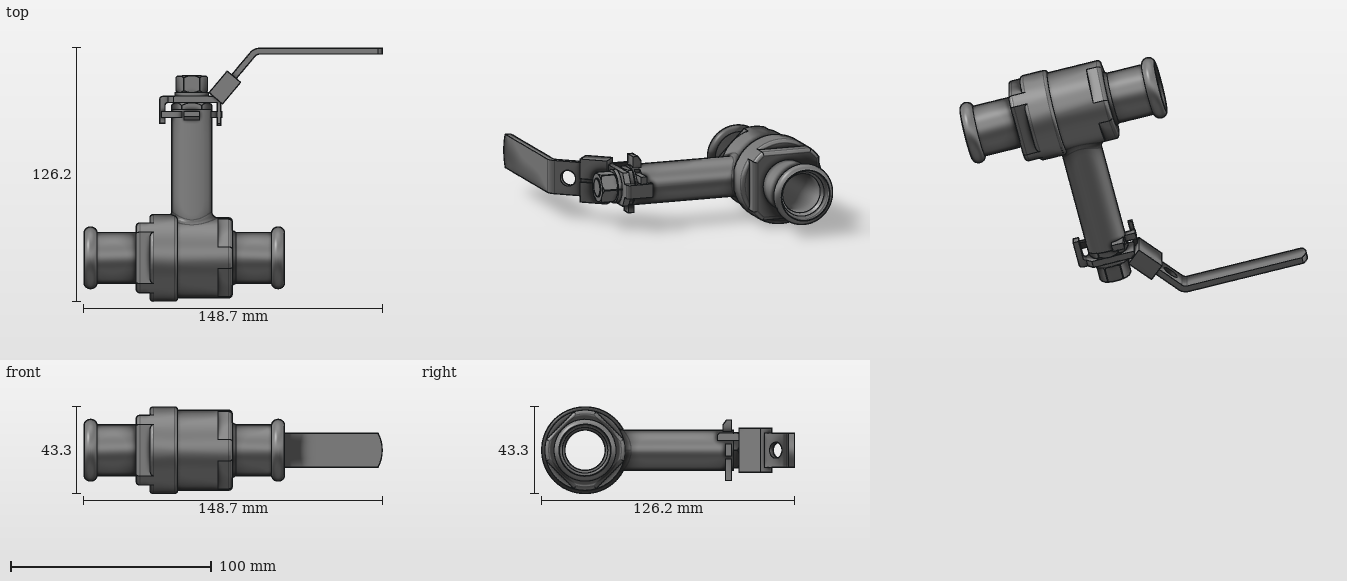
import cadquery as cq
import math

overall_length = 148.68

pipe_left = -53.7
pipe_right = 46.3
pipe_outer_radius = 25.5 / 2
bore_radius = 20 / 2
seat_radius = 22.7 / 2
mouth_radius = pipe_outer_radius
mouth_lip_radius = 13.0
mouth_chamfer = mouth_lip_radius - mouth_radius
mouth_round = mouth_radius - seat_radius
mouth_depth = 3.95
seat_depth = 5.9
bead_section_radius = 3.4
bead_outer_radius = 15.45

collar_radius = 43.3 / 2
body_radius = 40 / 2
block_left = -27.7
collar_left = -20.9
collar_right = -7.0
body_right = 20.2
body_flats_left = 13.1
flats_width = 34.9
edge_round = 1.85
collar_back_round = collar_radius - body_radius
neck_radius = 13.7
neck_right = 22.0

stem_radius = 10.05
stem_top = 73.95
stem_blend_radius = 3.0
gland_flats = 17.6
gland_chamfer = 1.3
plate_bottom = 77.35
plate_top = 80.55
washer_radius = 16.8 / 2
washer_top = 82.5
washer_slit = 0.5
nut_flats = 14.0
nut_corner_radius = 15.9 / 2
nut_top = 90.6
nut_chamfer = 0.8
thread_radius = 9.8 / 2
thread_top = 91.0
thread_chamfer = 0.5

lever_thickness = 3.0
lever_width = 17.0
lever_top = 104.5
lever_right = pipe_left + overall_length
lever_end_bulge = 2.1
lever_slope = 50
bend_inner_radius = 3.0
hole_radius = 8 / 2
hole_y = 96.0

sleeve_x = 16.5
sleeve_y = 84.9
sleeve_length = 14.1
sleeve_thickness = 8.8
sleeve_width = 22.0
groove_width = 1.7
groove_depth = 1.0

left_tab_x = -16.05
left_tab_width = 6.8
left_tab_thickness = 2.8
left_tab_bottom = 67.0
tab_bend_outer_radius = 1.7
tab_bend_inner_radius = 1.3
taper_start = -11.9
taper_end = -9.0
right_tab_x = 12.6
right_tab_thickness = 1.9
right_tab_bottom = 65.9
right_tab_top = 79.0
right_tab_z = (4.8, lever_width / 2)
right_tab_chamfer = 1.0

lug_top = 73.0
lug_bottom = 69.9
lug_reach = 15.1
left_lug_z = (3.3, 7.0)
right_lug_half_width = 3.0
upper_lug_half_width = 3.85
upper_lug_bottom = 68.75
upper_lug_chamfer_y = 1.7
upper_lug_chamfer_z = 2.4
lower_lug_x = (3.0, 9.0)
stem_notch_x = -4.9


def cylinder_x(radius, start, end):
    return cq.Workplane("YZ", origin=(start, 0, 0)).circle(radius).extrude(end - start)


def cylinder_y(radius, start, end):
    return cq.Workplane("XZ", origin=(0, start, 0)).circle(radius).extrude(start - end)


def square_bar_x(width, start, end, turn=0):
    bar = cq.Workplane("YZ", origin=(start, 0, 0)).rect(width, width).extrude(end - start)
    return bar.rotate((0, 0, 0), (1, 0, 0), turn)


def hexagon_y(flats, start, end):
    """Hexagonal prism along Y with two of its corners on the X axis."""
    corner_diameter = flats / math.cos(math.pi / 6)
    return cq.Workplane("XZ", origin=(0, start, 0)).polygon(6, corner_diameter).extrude(start - end)


def box(x_range, y_range, z_range):
    corner, opposite = zip(x_range, y_range, z_range)
    size = [high - low for low, high in zip(corner, opposite)]
    return cq.Workplane("XY").box(*size, centered=False).translate(corner)


def revolve_about_x(profile):
    return profile.close().revolve(360, (0, 0, 0), (1, 0, 0))


def nearest_edge(x, y):
    return cq.selectors.NearestToPointSelector((x, y, 0))


def place_at_end(feature, is_right_end):
    """Move a feature built for a pipe end at x = 0 to the left or right end of the pipe."""
    if is_right_end:
        return feature.mirror("YZ").translate((pipe_right, 0, 0))
    return feature.translate((pipe_left, 0, 0))


def make_bead():
    """Bead whose round section meets the end face at the lip of the mouth."""
    center_radius = bead_outer_radius - bead_section_radius
    center_x = math.sqrt(bead_section_radius**2 - (mouth_lip_radius - center_radius)**2)
    root_x = center_x + math.sqrt(bead_section_radius**2 - (pipe_outer_radius - center_radius)**2)
    profile = (
        cq.Workplane("XY")
        .moveTo(0, bore_radius)
        .lineTo(0, mouth_lip_radius)
        .threePointArc((center_x, bead_outer_radius), (root_x, pipe_outer_radius))
        .lineTo(root_x, bore_radius)
    )
    return revolve_about_x(profile)


def make_mouth():
    """Void at a pipe end: chamfered mouth, rounded step, then a cone down to the bore."""
    round_start = mouth_depth - mouth_round
    round_middle = mouth_round * math.sqrt(0.5)
    profile = (
        cq.Workplane("XY")
        .moveTo(0, 0)
        .lineTo(0, mouth_lip_radius)
        .lineTo(mouth_chamfer, mouth_radius)
        .lineTo(round_start, mouth_radius)
        .threePointArc((round_start + round_middle, seat_radius + round_middle), (mouth_depth, seat_radius))
        .lineTo(seat_depth, bore_radius)
        .lineTo(seat_depth, 0)
    )
    return revolve_about_x(profile)


def make_pipe():
    pipe = cylinder_x(pipe_outer_radius, pipe_left + bead_section_radius, pipe_right - bead_section_radius)
    for is_right_end in (False, True):
        pipe = pipe.union(place_at_end(make_bead(), is_right_end))
    return pipe


def make_main_body_and_stem():
    body = cylinder_x(body_radius, collar_left + edge_round, body_right)
    corners = cylinder_x(collar_radius, body_flats_left, body_right)
    corners = corners.cut(square_bar_x(flats_width, body_flats_left, body_right, turn=45))
    body = body.cut(corners)
    body = body.faces(">X").edges().fillet(edge_round)

    body = body.union(cylinder_y(stem_radius, 0, stem_top))
    margin = 1.0
    reach = stem_radius + margin
    seam_low = (-reach, body_radius / 2, -reach)
    seam_high = (reach, body_radius + margin, reach)
    seam = cq.selectors.BoxSelector(seam_low, seam_high, boundingbox=True)
    return body.edges(seam).fillet(stem_blend_radius)


def make_collar_and_block():
    collar = cylinder_x(collar_radius, collar_left, collar_right)
    collar = collar.faces("<X").edges().fillet(edge_round)
    collar = collar.faces(">X").edges().fillet(collar_back_round)

    block_right = collar_left + edge_round
    block = cylinder_x(collar_radius, block_left, block_right)
    block = block.intersect(square_bar_x(flats_width, block_left, block_right))
    block = block.faces("<X").edges().fillet(edge_round)
    return collar.union(block)


def make_neck():
    profile = (
        cq.Workplane("XY")
        .moveTo(0, 0)
        .lineTo(0, neck_radius)
        .lineTo(body_right, neck_radius)
        .lineTo(neck_right, pipe_outer_radius)
        .lineTo(neck_right, 0)
    )
    return revolve_about_x(profile)


def make_valve():
    valve = make_main_body_and_stem().union(make_collar_and_block()).union(make_neck()).union(make_pipe())
    valve = valve.cut(cylinder_x(bore_radius, pipe_left, pipe_right))
    for is_right_end in (False, True):
        valve = valve.cut(place_at_end(make_mouth(), is_right_end))
    return valve


def make_stem_fittings():
    gland_limit = cylinder_y(stem_radius, stem_top, plate_bottom).faces(">Y").edges().chamfer(gland_chamfer)
    gland = hexagon_y(gland_flats, stem_top, plate_bottom).intersect(gland_limit)

    nut_limit = cylinder_y(nut_corner_radius, washer_top, nut_top)
    nut_limit = nut_limit.faces("<Y or >Y").edges().chamfer(nut_chamfer)
    nut = hexagon_y(nut_flats, washer_top, nut_top).intersect(nut_limit)

    washer = cylinder_y(washer_radius, plate_top, washer_top)
    slit = box((-washer_radius, 0), (plate_top, washer_top), (-washer_slit / 2, washer_slit / 2))
    thread = cylinder_y(thread_radius, stem_top, thread_top).faces(">Y").edges().chamfer(thread_chamfer)
    return gland.union(nut).union(washer.cut(slit)).union(thread)


def slope_x(y, offset=0.0):
    """X of the sloping bar at height y, on a line offset from its middle toward the upper left."""
    slope = math.radians(lever_slope)
    return sleeve_x + (y - sleeve_y) / math.tan(slope) - offset / math.sin(slope)


def place_on_slope(feature, x, y):
    return feature.rotate((0, 0, 0), (0, 0, 1), lever_slope).translate((x, y, 0))


def make_lever():
    half = lever_thickness / 2
    half_width = lever_width / 2
    root_y = plate_top - half
    underside = lever_top - lever_thickness
    outer_bend = (slope_x(lever_top, half), lever_top)
    inner_bend = (slope_x(underside, -half), underside)
    lever = (
        cq.Workplane("XY", origin=(0, 0, -half_width))
        .moveTo(slope_x(root_y, half), root_y)
        .lineTo(*outer_bend)
        .lineTo(lever_right, lever_top)
        .lineTo(lever_right, underside)
        .lineTo(*inner_bend)
        .lineTo(slope_x(root_y, -half), root_y)
        .close()
        .extrude(lever_width)
    )
    lever = lever.edges(nearest_edge(*outer_bend)).fillet(bend_inner_radius + lever_thickness)
    lever = lever.edges(nearest_edge(*inner_bend)).fillet(bend_inner_radius)

    end_corner_x = lever_right - lever_end_bulge
    rounded_outline = (
        cq.Workplane("XZ", origin=(0, lever_top, 0))
        .moveTo(0, -half_width)
        .lineTo(end_corner_x, -half_width)
        .threePointArc((lever_right, 0), (end_corner_x, half_width))
        .lineTo(0, half_width)
        .close()
        .extrude(lever_top - root_y)
    )
    hole = cq.Workplane("XZ").circle(hole_radius).extrude(lever_thickness, both=True)
    return lever.intersect(rounded_outline).cut(place_on_slope(hole, slope_x(hole_y), hole_y))


def make_sleeve():
    sleeve = cq.Workplane("XY").box(sleeve_length, sleeve_thickness, sleeve_width)
    groove = cq.Workplane("XY").box(sleeve_length, 2 * groove_depth, groove_width)
    sleeve = sleeve.cut(groove.translate((0, sleeve_thickness / 2, 0)))
    return place_on_slope(sleeve, sleeve_x, sleeve_y)


def make_plate():
    half_tab = left_tab_width / 2
    half_width = lever_width / 2
    left_tab_inner_x = left_tab_x + left_tab_thickness
    plate = (
        cq.Workplane("XZ", origin=(0, plate_top, 0))
        .moveTo(left_tab_x, -half_tab)
        .lineTo(taper_start, -half_tab)
        .lineTo(taper_end, -half_width)
        .lineTo(right_tab_x, -half_width)
        .lineTo(right_tab_x, half_width)
        .lineTo(taper_end, half_width)
        .lineTo(taper_start, half_tab)
        .lineTo(left_tab_x, half_tab)
        .close()
        .extrude(plate_top - plate_bottom)
    )
    left_tab_span = (left_tab_x, left_tab_inner_x)
    left_tab = box(left_tab_span, (left_tab_bottom, plate_top), (-half_tab, half_tab))
    plate = plate.union(left_tab)
    plate = plate.edges(nearest_edge(left_tab_x, plate_top)).fillet(tab_bend_outer_radius)
    plate = plate.edges(nearest_edge(left_tab_inner_x, plate_bottom)).fillet(tab_bend_inner_radius)

    right_tab_span = (right_tab_x, right_tab_x + right_tab_thickness)
    right_tab = box(right_tab_span, (right_tab_bottom, right_tab_top), right_tab_z)
    right_tab = right_tab.faces("<Y").edges(">Z").chamfer(right_tab_chamfer)
    return plate.union(right_tab)


def make_stop_lugs():
    height = (lug_bottom, lug_top)
    left = box((-lug_reach, 0), height, left_lug_z)
    right = box((0, lug_reach), height, (-right_lug_half_width, right_lug_half_width))
    lower = box(lower_lug_x, height, (-lug_reach, 0))
    upper = (
        cq.Workplane("YZ", origin=(-upper_lug_half_width, 0, 0))
        .moveTo(lug_top, 0)
        .lineTo(lug_top, lug_reach)
        .lineTo(upper_lug_bottom + upper_lug_chamfer_y, lug_reach)
        .lineTo(upper_lug_bottom, lug_reach - upper_lug_chamfer_z)
        .lineTo(upper_lug_bottom, 0)
        .close()
        .extrude(2 * upper_lug_half_width)
    )
    return left.union(right).union(lower).union(upper)


def cut_stem_notch(part):
    """Clear the stem above the left lug so that the top of the lug runs on as a flat."""
    notch = box((-stem_radius, stem_notch_x), (lug_bottom, lug_top), (left_lug_z[1], stem_radius))
    return part.cut(notch)


handle = make_lever().union(make_sleeve()).union(make_plate())
result = cut_stem_notch(make_valve()).union(make_stop_lugs()).union(make_stem_fittings()).union(handle)